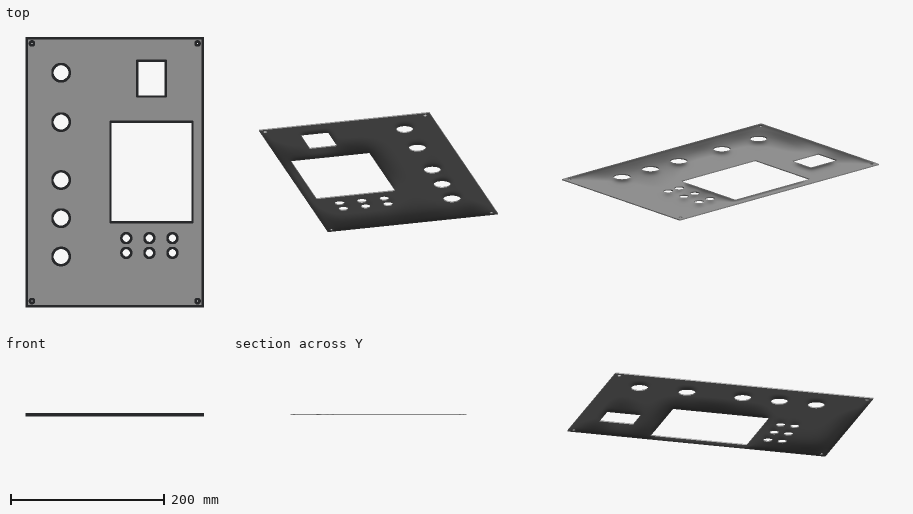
import cadquery as cq

panel_width = 230.0
panel_length = 350.0
panel_thickness = 1.5

mount_diameter = 5.2
mount_inset = 7.0

large_diameter = 22.5
large_column_x = -70.0
large_hole_heights = [130.0, 65.5, -10.0, -60.0, -110.0]

window_x = 48.0
main_window_width = 106.5
main_window_length = 131.0
main_window_y = 0.5
small_window_width = 37.0
small_window_length = 46.2
small_window_y = 122.0

button_diameter = 12.5
button_columns = 3
button_rows = 2
button_pitch_x = 30.0
button_pitch_y = 19.2
button_grid_x = 45.0
button_grid_y = -95.5


def cut_holes(body, centers, diameter):
    """Cut through holes of one diameter at the given XY centres."""
    return body.cut(
        cq.Workplane("XY")
        .pushPoints(centers)
        .circle(diameter / 2)
        .extrude(panel_thickness)
    )


def cut_window(body, center_y, width, length):
    """Cut a rectangular through window on the window centreline."""
    return body.cut(
        cq.Workplane("XY")
        .center(window_x, center_y)
        .rect(width, length)
        .extrude(panel_thickness)
    )


panel = cq.Workplane("XY").rect(panel_width, panel_length).extrude(panel_thickness)

mount_x = panel_width / 2 - mount_inset
mount_y = panel_length / 2 - mount_inset
mount_centers = [(sx * mount_x, sy * mount_y) for sx in (-1, 1) for sy in (-1, 1)]
panel = cut_holes(panel, mount_centers, mount_diameter)

large_centers = [(large_column_x, y) for y in large_hole_heights]
panel = cut_holes(panel, large_centers, large_diameter)

panel = cut_window(panel, main_window_y, main_window_width, main_window_length)
panel = cut_window(panel, small_window_y, small_window_width, small_window_length)

button_centers = [
    (
        button_grid_x + (column - (button_columns - 1) / 2) * button_pitch_x,
        button_grid_y + (row - (button_rows - 1) / 2) * button_pitch_y,
    )
    for column in range(button_columns)
    for row in range(button_rows)
]
panel = cut_holes(panel, button_centers, button_diameter)

result = panel